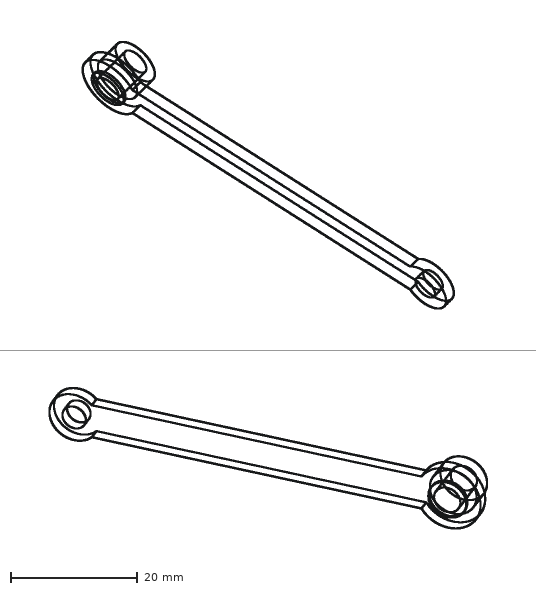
import cadquery as cq

PIVOT_SPACING = 64.0
ARM_THICKNESS = 2.0
ARM_WIDTH = 6.0

BUSHING_EYE_DIAMETER = 11.0
PLAIN_EYE_DIAMETER = 8.5
PLAIN_EYE_BORE = 4.0

BUSHING_DIAMETER = 8.0
BUSHING_LENGTH = 4.5
BUSHING_BORE = 4.5
LIP_DIAMETER = 6.5
LIP_HEIGHT = 0.5
BUSHING_BACK_Y = ARM_THICKNESS + BUSHING_LENGTH


def cylinder(diameter, front_y, back_y, center_x=0.0):
    """Solid cylinder along Y between two Y positions."""
    front_plane = cq.Workplane("XZ", origin=(center_x, front_y, 0))
    return front_plane.circle(diameter / 2).extrude(front_y - back_y)


def make_arm():
    """Flat bar joining a round eye at each pivot."""
    bar = cq.Workplane("XY").box(
        PIVOT_SPACING, ARM_THICKNESS, ARM_WIDTH, centered=(False, False, True)
    )
    bushing_eye = cylinder(BUSHING_EYE_DIAMETER, 0, ARM_THICKNESS)
    plain_eye = cylinder(PLAIN_EYE_DIAMETER, 0, ARM_THICKNESS, PIVOT_SPACING)
    return bar.union(bushing_eye).union(plain_eye)


def add_bushing(arm):
    """Long boss behind the arm and a low lip in front of it."""
    boss = cylinder(BUSHING_DIAMETER, ARM_THICKNESS, BUSHING_BACK_Y)
    lip = cylinder(LIP_DIAMETER, -LIP_HEIGHT, 0)
    return arm.union(boss).union(lip)


def cut_bores(body):
    """Through bores at both pivots."""
    bushing_bore = cylinder(BUSHING_BORE, -LIP_HEIGHT, BUSHING_BACK_Y)
    plain_bore = cylinder(PLAIN_EYE_BORE, 0, ARM_THICKNESS, PIVOT_SPACING)
    return body.cut(bushing_bore).cut(plain_bore)


result = cut_bores(add_bushing(make_arm()))